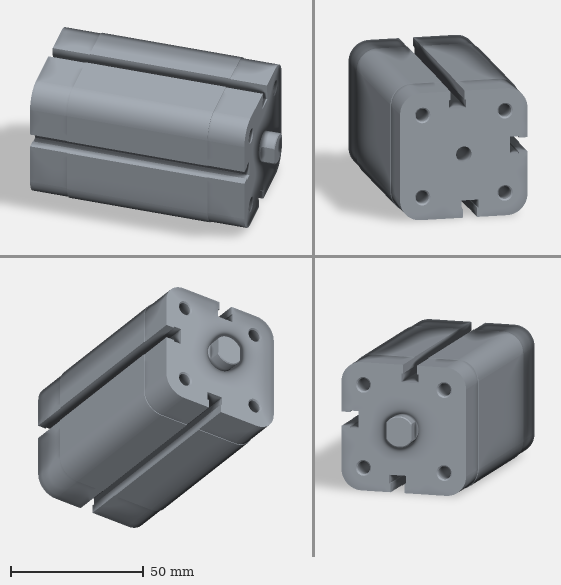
import cadquery as cq

total_length = 90.5
rear_cap_length = 14.7
barrel_length = 55.4
front_cap_length = 14.5
barrel_start = rear_cap_length
front_cap_start = barrel_start + barrel_length
front_face = front_cap_start + front_cap_length

barrel_width = 50.0
cap_inset = 0.23
cap_width = barrel_width - 2 * cap_inset
corner_radius = 8.0

slot_offset = 2.4
slot_mouth_width = 5.5
slot_inner_width = 6.7
slot_mouth_depth = 3.6
slot_depth = 7.0
slot_turns = (0, 90, 180)

bolt_spacing = 32.0
bolt_hole_diameter = 5.0
bolt_hole_chamfer = 0.5
centring_hole_diameter = 6.0

rod_diameter = 12.0
rod_flat_width = 10.0
rod_flat_setback = 0.9
rod_flat_start = front_face + rod_flat_setback
rod_flat_run_out = 0.4
rod_chamfer = 0.4


def block(start, length, width):
    """Square bar along X with rounded long edges."""
    return (
        cq.Workplane("YZ", origin=(start, 0, 0))
        .rect(width, width)
        .extrude(length)
        .edges("|X")
        .fillet(corner_radius)
    )


def slot_cutter():
    """Stepped slot open at the +Z side, running the whole length."""
    side = barrel_width / 2
    mouth = (
        cq.Workplane("YZ")
        .center(slot_offset, side - slot_depth / 2)
        .rect(slot_mouth_width, slot_depth)
        .extrude(total_length)
    )
    inner_depth = slot_depth - slot_mouth_depth
    inner = (
        cq.Workplane("YZ")
        .center(slot_offset, side - slot_depth + inner_depth / 2)
        .rect(slot_inner_width, inner_depth)
        .extrude(total_length)
    )
    return mouth.union(inner)


def bolt_holes(start, length):
    """Cutter for the four corner holes over one stretch of the axis."""
    return (
        cq.Workplane("YZ", origin=(start, 0, 0))
        .rect(bolt_spacing, bolt_spacing, forConstruction=True)
        .vertices()
        .circle(bolt_hole_diameter / 2)
        .extrude(length)
    )


def bolt_hole_mouths(outer_face, inward):
    """Cone cutters for the corner hole mouths, narrowing in the inward X direction."""
    mouth_radius = bolt_hole_diameter / 2 + bolt_hole_chamfer
    half = bolt_spacing / 2
    return [
        cq.Solid.makeCone(
            mouth_radius,
            bolt_hole_diameter / 2,
            bolt_hole_chamfer,
            cq.Vector(outer_face, y, z),
            cq.Vector(inward, 0, 0),
        )
        for y in (-half, half)
        for z in (-half, half)
    ]


def section(start, length, width):
    """Rounded block with the sensor slots and corner holes cut through."""
    body = block(start, length, width)
    for turn in slot_turns:
        body = body.cut(slot_cutter().rotate((0, 0, 0), (1, 0, 0), turn))
    return body.cut(bolt_holes(start, length))


def make_barrel():
    """Middle length of profile between the caps."""
    return section(barrel_start, barrel_length, barrel_width)


def make_rear_cap():
    """Closed end at -X with a plain centring hole."""
    cap = section(0, rear_cap_length, cap_width)
    for mouth in bolt_hole_mouths(0, 1):
        cap = cap.cut(cq.Workplane(mouth))
    centring_hole = cq.Workplane("YZ").circle(centring_hole_diameter / 2).extrude(rear_cap_length)
    return cap.cut(centring_hole)


def make_front_cap():
    """End at +X, bored through for the rod."""
    cap = section(front_cap_start, front_cap_length, cap_width)
    for mouth in bolt_hole_mouths(front_face, -1):
        cap = cap.cut(cq.Workplane(mouth))
    rod_hole = (
        cq.Workplane("YZ", origin=(front_cap_start, 0, 0))
        .circle(rod_diameter / 2)
        .extrude(front_cap_length)
    )
    return cap.cut(rod_hole)


def make_rod():
    """Rod from the barrel end outwards, with flats on its +Y and -Y sides."""
    rod = (
        cq.Workplane("YZ", origin=(front_cap_start, 0, 0))
        .circle(rod_diameter / 2)
        .extrude(total_length - front_cap_start)
        .faces(">X")
        .chamfer(rod_chamfer)
    )
    radius = rod_diameter / 2
    flat = rod_flat_width / 2
    flat_cutter = (
        cq.Workplane("XY")
        .moveTo(total_length, flat)
        .lineTo(rod_flat_start, flat)
        .lineTo(rod_flat_start - rod_flat_run_out, radius)
        .lineTo(total_length, radius)
        .close()
        .extrude(radius, both=True)
    )
    return rod.cut(flat_cutter).cut(flat_cutter.mirror("XZ"))


barrel = make_barrel()
rear_cap = make_rear_cap()
front_cap = make_front_cap()
rod = make_rod()

result = cq.Compound.makeCompound([barrel.val(), rear_cap.val(), front_cap.val(), rod.val()])